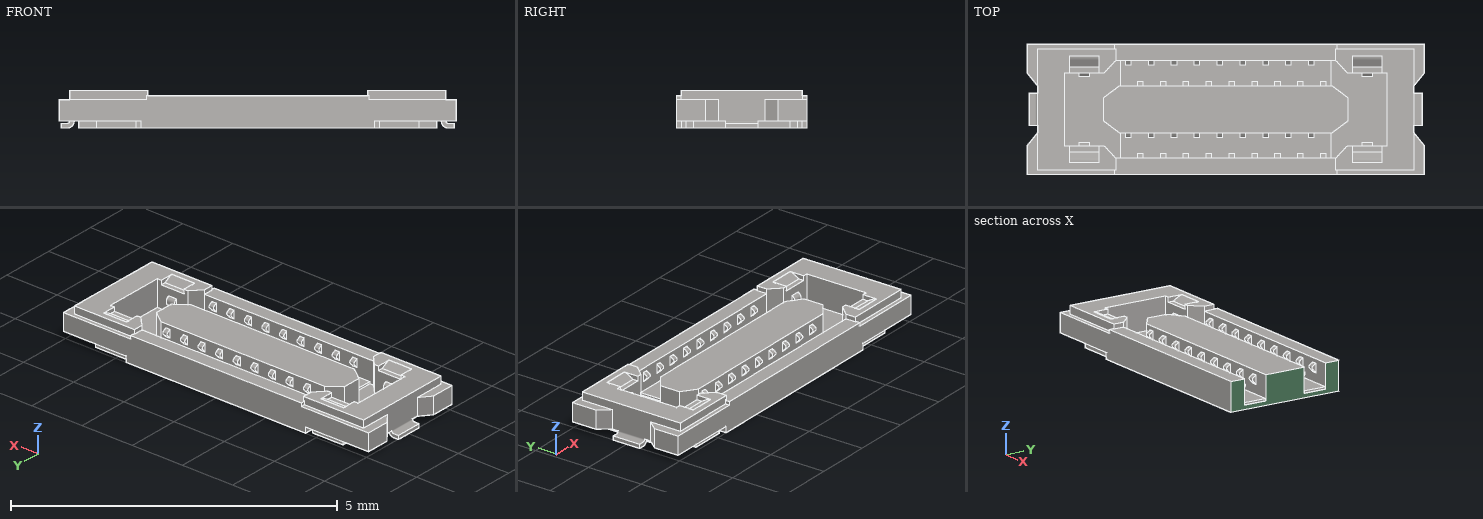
import cadquery as cq
import math

length = 6.08
width = 2.0
floor_gap = 0.11
end_top = 0.44
middle_top = 0.5
cap_top = 0.58
middle_half = 1.79
wall_half = 1.7

cap_inner = 1.685
cap_outer = 2.88
cap_width = 1.855
relief_inner_y = 0.36
relief_outer_y = 0.555

cavity_end = 2.47
cavity_end_half = 0.56
cavity_half = 0.75
cavity_taper_x = 1.86
end_floor = 0.08
middle_floor = 0.115
middle_floor_half = 1.61
island_half_length = 1.87
island_half_width = 0.36
island_taper_x = 1.63
island_nose_half = 0.175

base_end = 2.74
base_half = 0.74
leg_inner_y = 0.85
leg_outer_y = 0.925

clip_inner_x = 1.94
clip_outer_x = 2.39
clip_seat_z = 0.5
clip_seat_y = 0.65
clip_back_y = 0.815
clip_slope = math.radians(30)
clip_radius = 0.12
latch_length = 0.16
latch_bottom = 0.195
latch_top = 0.36
latch_reach = 0.055

contact_count = 9
contact_row_length = 2.8
contact_pitch = contact_row_length / (contact_count - 1)
contact_shift = 0.09
contact_width = 0.085
contact_bottom = 0.275
contact_top = 0.425
contact_tip_z = 0.37
contact_reach = 0.085
contact_tip_radius = 0.03

tab_tip = 3.01
tab_bend_x = 2.92
tab_thickness = 0.07
tab_width = 0.5

embed = 0.03


def box(x0, x1, y0, y1, z0, z1):
    """Box given by its limits along each axis."""
    return cq.Workplane("XY").box(x1 - x0, y1 - y0, z1 - z0, centered=False).translate((x0, y0, z0))


def centred_box(half_x, half_y, z0, z1):
    """Box centred on the Z axis."""
    return box(-half_x, half_x, -half_y, half_y, z0, z1)


def symmetric_prism(points, z0, z1):
    """Prism whose outline is the first-quadrant points mirrored into all quadrants."""
    right = points + [(x, -y) for x, y in reversed(points)]
    left = [(-x, -y) for x, y in right]
    return cq.Workplane("XY").polyline(right + left).close().extrude(z1 - z0).translate((0, 0, z0))


def both_ends(piece):
    """Piece together with its mirror image at the other X end."""
    return piece.union(piece.mirror("YZ"))


def both_sides(piece):
    """Piece together with its mirror image on the other Y side."""
    return piece.union(piece.mirror("XZ"))


def make_body():
    """Raised ends with corner reliefs, long middle stretch and the two end caps."""
    half_width = width / 2
    outline = [(length / 2, half_width), (length / 2, relief_outer_y), (cap_outer, relief_inner_y)]
    ends = symmetric_prism(outline, floor_gap, end_top)
    walls = centred_box(wall_half, half_width, floor_gap, middle_top)
    middle = centred_box(middle_half, half_width, 0, end_top)
    cap = box(cap_inner, cap_outer, -cap_width / 2, cap_width / 2, floor_gap, cap_top)
    return ends.union(walls).union(middle).union(both_ends(cap))


def make_underside():
    """Central base, with the free-standing solder legs of the clips beside it."""
    base = centred_box(base_end, base_half, 0, floor_gap)
    leg = box(cavity_taper_x, cavity_end, leg_inner_y, leg_outer_y, 0, floor_gap + embed)
    return base.union(both_ends(both_sides(leg)))


def make_cavity():
    """Open pocket that tapers in towards each end."""
    outline = [(cap_inner, cavity_half), (cavity_taper_x, cavity_end_half), (cavity_end, cavity_end_half)]
    return symmetric_prism(outline, end_floor, cap_top)


def make_middle_floor():
    """Slightly raised cavity floor between the contact rows."""
    return centred_box(middle_floor_half, cavity_half, 0, middle_floor)


def make_island():
    """Central tongue with pointed ends."""
    outline = [(island_taper_x, island_half_width), (island_half_length, island_nose_half)]
    return symmetric_prism(outline, 0, middle_top)


def make_clip_slot():
    """Slot over one clip: rounded shoulder, slope, then a flat seat opening into the cavity."""
    bend_y = clip_back_y - clip_radius * math.sin(clip_slope)
    bend_z = clip_seat_z + (bend_y - clip_seat_y) * math.tan(clip_slope)
    shoulder_z = bend_z + clip_radius * (1 - math.cos(clip_slope))
    mid_y = clip_back_y - clip_radius * math.sin(clip_slope / 2)
    mid_z = shoulder_z - clip_radius * (1 - math.cos(clip_slope / 2))
    return (
        cq.Workplane("YZ", origin=(clip_inner_x, 0, 0))
        .moveTo(cavity_end_half - embed, clip_seat_z)
        .lineTo(clip_seat_y, clip_seat_z)
        .lineTo(bend_y, bend_z)
        .threePointArc((mid_y, mid_z), (clip_back_y, shoulder_z))
        .lineTo(clip_back_y, cap_top)
        .lineTo(cavity_end_half - embed, cap_top)
        .close()
        .extrude(clip_outer_x - clip_inner_x)
    )


def make_latch():
    """Rounded bump under a clip, sticking out into the cavity."""
    root_y = cavity_end_half + embed
    bulge = (cavity_end_half - latch_reach, (latch_bottom + latch_top) / 2)
    return (
        cq.Workplane("YZ", origin=((clip_inner_x + clip_outer_x - latch_length) / 2, 0, 0))
        .moveTo(root_y, latch_bottom)
        .lineTo(cavity_end_half, latch_bottom)
        .threePointArc(bulge, (cavity_end_half, latch_top))
        .lineTo(root_y, latch_top)
        .close()
        .extrude(latch_length)
    )


def make_contact(x_centre, wall_y):
    """Wedge with a rounded tip, sticking out of a wall along -Y."""
    root_y = wall_y + embed
    tip_y = wall_y - contact_reach
    return (
        cq.Workplane("YZ", origin=(x_centre - contact_width / 2, 0, 0))
        .polyline([
            (root_y, contact_bottom), (wall_y, contact_bottom), (tip_y, contact_tip_z),
            (wall_y, contact_top), (root_y, contact_top)])
        .close()
        .extrude(contact_width)
        .edges("|X and <Y")
        .fillet(contact_tip_radius)
    )


def add_contacts(part):
    """Rows facing -Y, each copied to the opposite side by a half turn about Z."""
    for index in range(contact_count):
        x = index * contact_pitch - contact_row_length / 2 - contact_shift
        for wall_y in (cavity_half, -island_half_width):
            contact = make_contact(x, wall_y)
            part = part.union(contact).union(contact.rotate((0, 0, 0), (0, 0, 1), 180))
    return part


def make_tab():
    """Flat foot that bends up into the underside of the body."""
    bend_z = floor_gap
    outer_radius = bend_z
    inner_radius = outer_radius - tab_thickness
    diagonal = math.sqrt(0.5)
    return (
        cq.Workplane("XZ", origin=(0, tab_width / 2, 0))
        .moveTo(tab_tip, 0)
        .lineTo(tab_bend_x, 0)
        .threePointArc(
            (tab_bend_x - outer_radius * diagonal, bend_z - outer_radius * diagonal),
            (tab_bend_x - outer_radius, bend_z))
        .lineTo(tab_bend_x - outer_radius, bend_z + embed)
        .lineTo(tab_bend_x - inner_radius, bend_z + embed)
        .lineTo(tab_bend_x - inner_radius, bend_z)
        .threePointArc(
            (tab_bend_x - inner_radius * diagonal, bend_z - inner_radius * diagonal),
            (tab_bend_x, tab_thickness))
        .lineTo(tab_tip, tab_thickness)
        .close()
        .extrude(tab_width)
    )


result = make_body().union(make_underside()).cut(make_cavity())
result = result.union(make_middle_floor()).union(make_island())
result = result.cut(both_ends(both_sides(make_clip_slot())))
result = result.union(both_ends(both_sides(make_latch())))
result = add_contacts(result)
result = result.union(both_ends(make_tab()))